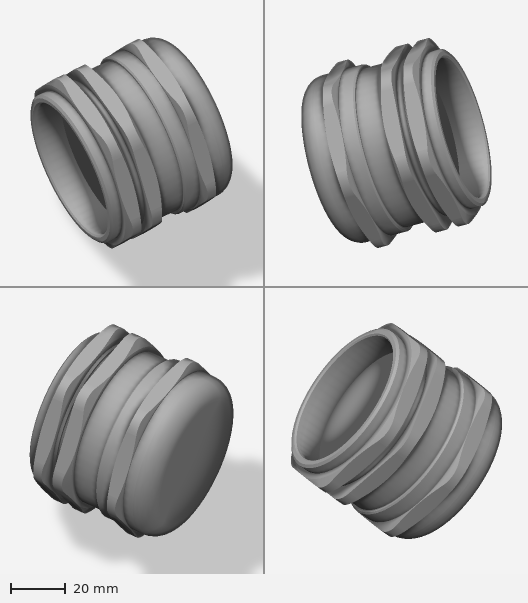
import cadquery as cq
import math

length = 53.1
across_flats = 64.0
across_corners = 70.8

locknut_start = 4.5
locknut_end = 10.55
thread_end = 11.75
hex_start = 14.0
hex_end = 20.05
cap_start = 30.0
cap_hex_start = 36.2
cap_hex_end = 42.1

thread_diameter = 59.3
body_diameter = 60.0
cap_diameter = 63.0
groove_diameter = 57.1
seal_section = 2.8
bore_diameter = 53.0
bore_depth = 11.75
dome_radius = 6.95
rim_chamfer_length = 0.8
rim_chamfer_height = 1.0
bore_chamfer = 0.6
cap_lip_chamfer = 0.6

sharp_corners = across_flats / math.cos(math.radians(30))
corner_radius = (sharp_corners - across_corners) / 2 / (1 / math.cos(math.radians(30)) - 1)
nut_bevel_angle = 20.0
body_bevel_angle = 30.0

front = -length / 2


def cylinder(diameter, start, end):
    """Round section between two stations on the axis."""
    return (
        cq.Workplane("XZ", origin=(0, front + start, 0))
        .circle(diameter / 2)
        .extrude(start - end)
    )


def hexagon(start, end, front_angle, back_angle):
    """Rounded hexagon whose corners are bevelled by cones; angle 0 leaves a face flat."""
    prism = (
        cq.Workplane("XZ", origin=(0, front + start, 0))
        .polygon(6, sharp_corners)
        .extrude(start - end)
        .edges("|Y")
        .fillet(corner_radius)
    )
    face_radius = across_flats / 2
    outer_radius = sharp_corners / 2
    reach = outer_radius - face_radius
    front_drop = reach * math.tan(math.radians(front_angle))
    back_drop = reach * math.tan(math.radians(back_angle))
    profile = cq.Workplane("XY").moveTo(0, front + start)
    if front_angle:
        profile = profile.lineTo(face_radius, front + start)
    profile = profile.lineTo(outer_radius, front + start + front_drop)
    profile = profile.lineTo(outer_radius, front + end - back_drop)
    if back_angle:
        profile = profile.lineTo(face_radius, front + end)
    envelope = profile.lineTo(0, front + end).close().revolve(360, (0, 0, 0), (0, 1, 0))
    return prism.intersect(envelope)


def seal_ring():
    """O-ring in its groove, resting against the thread shoulder and cut off flat by the hexagon."""
    ring_radius = body_diameter / 2 - seal_section / 2
    ring_station = front + thread_end + seal_section / 2
    ring = (
        cq.Workplane("XY")
        .center(ring_radius, ring_station)
        .circle(seal_section / 2)
        .revolve(360, (-ring_radius, 0, 0), (-ring_radius, 1, 0))
    )
    return ring.intersect(cylinder(cap_diameter, thread_end, hex_start))


thread = cylinder(thread_diameter, 0, thread_end)
thread = thread.faces("<Y").edges().chamfer(rim_chamfer_length, rim_chamfer_height)

groove = cylinder(groove_diameter, thread_end, hex_start)

body = cylinder(body_diameter, hex_start, cap_start)

cap = cylinder(cap_diameter, cap_start, length)
cap = cap.faces(">Y").edges().fillet(dome_radius)
cap = cap.faces("<Y").edges().chamfer(cap_lip_chamfer)

bore = cylinder(bore_diameter, 0, bore_depth)
bore_mouth = (
    cq.Workplane("XZ", origin=(0, front, 0))
    .circle(bore_diameter / 2 + bore_chamfer)
    .extrude(-bore_chamfer, taper=45)
)

result = (
    thread.union(groove)
    .union(seal_ring())
    .union(body)
    .union(cap)
    .union(hexagon(locknut_start, locknut_end, nut_bevel_angle, nut_bevel_angle))
    .union(hexagon(hex_start, hex_end, 0, body_bevel_angle))
    .union(hexagon(cap_hex_start, cap_hex_end, nut_bevel_angle, nut_bevel_angle))
    .cut(bore)
    .cut(bore_mouth)
)